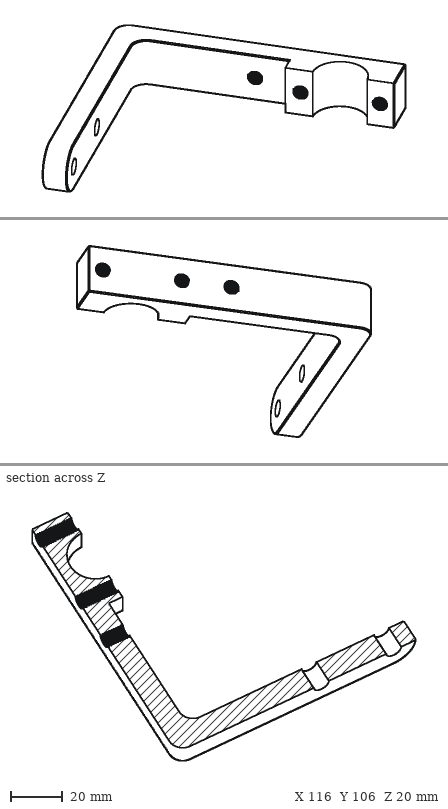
import cadquery as cq

LENGTH_X = 116.0
LENGTH_Y = 106.0
HEIGHT = 20.0
ARM_THICKNESS = 10.0
CORNER_RADIUS = 6.0
EDGE_CHAMFER = 0.5
END_RADIUS = HEIGHT / 2

CLAMP_DEPTH = 16.0
CLAMP_START_X = 72.0
SADDLE_RADIUS = 10.9
SADDLE_X = (CLAMP_START_X + LENGTH_X) / 2

PLAIN_HOLE_DIAMETER = 6.5
PLAIN_HOLE_SPACING = 32.0
PLAIN_HOLE_YS = (END_RADIUS, END_RADIUS + PLAIN_HOLE_SPACING)

ARM_THREAD_X = 58.0
CLAMP_THREAD_OFFSET = 16.0
THREAD_PITCH = 1.0
MAJOR_RADIUS = 3.0
MINOR_RADIUS = 2.5
GROOVE_ROOT_WIDTH = THREAD_PITCH / 8
GROOVE_MOUTH_WIDTH = THREAD_PITCH * 7 / 8
GROOVE_OVERLAP = 0.1
GROOVE_MOUTH_RADIUS = MINOR_RADIUS - GROOVE_OVERLAP
CORE_SEAM_ANGLE = 100.0

ARM_INNER_Y = LENGTH_Y - ARM_THICKNESS
CLAMP_FACE_Y = LENGTH_Y - CLAMP_DEPTH
MID_Z = HEIGHT / 2


def make_arms():
    """L-shaped bar with rounded corners, a round free end and chamfered edges."""
    corner_points = [
        (0, 0),
        (ARM_THICKNESS, 0),
        (ARM_THICKNESS, ARM_INNER_Y),
        (LENGTH_X, ARM_INNER_Y),
        (LENGTH_X, LENGTH_Y),
        (0, LENGTH_Y),
    ]
    bar = cq.Workplane("XY").polyline(corner_points).close().extrude(HEIGHT)
    for x, y in [(0, LENGTH_Y), (ARM_THICKNESS, ARM_INNER_Y)]:
        bar = bar.edges(cq.NearestToPointSelector((x, y, MID_Z))).fillet(CORNER_RADIUS)

    side_profile = (
        cq.Workplane("YZ")
        .moveTo(LENGTH_Y, 0)
        .lineTo(END_RADIUS, 0)
        .threePointArc((0, MID_Z), (END_RADIUS, HEIGHT))
        .lineTo(LENGTH_Y, HEIGHT)
        .close()
        .extrude(LENGTH_X)
    )
    bar = bar.intersect(side_profile)

    inner_face = cq.NearestToPointSelector((ARM_THICKNESS, ARM_INNER_Y / 2, MID_Z))
    bar = bar.faces("<X").edges("not |Z").chamfer(EDGE_CHAMFER)
    bar = bar.faces(inner_face).edges("not |Z").chamfer(EDGE_CHAMFER)
    return bar.faces(">X").edges().chamfer(EDGE_CHAMFER)


def make_clamp():
    """Block with its outer end edges chamfered."""
    block = (
        cq.Workplane("XY")
        .box(LENGTH_X - CLAMP_START_X, CLAMP_DEPTH, HEIGHT, centered=False)
        .translate((CLAMP_START_X, CLAMP_FACE_Y, 0))
    )
    return block.faces(">X or >Y").edges("not <X").chamfer(EDGE_CHAMFER)


def make_saddle():
    return cq.Workplane("XY").center(SADDLE_X, CLAMP_FACE_Y).circle(SADDLE_RADIUS).extrude(HEIGHT)


def make_plain_holes():
    return (
        cq.Workplane("YZ")
        .pushPoints([(y, MID_Z) for y in PLAIN_HOLE_YS])
        .circle(PLAIN_HOLE_DIAMETER / 2)
        .extrude(ARM_THICKNESS)
    )


def make_thread(x, face_y):
    """Groove and core cutters for a right-hand thread from face_y to the outer face in +Y."""
    depth = LENGTH_Y - face_y

    core = cq.Workplane("XY").circle(MINOR_RADIUS).extrude(depth)
    core = core.rotate((0, 0, 0), (0, 0, 1), CORE_SEAM_ANGLE)

    helix = cq.Wire.makeHelix(THREAD_PITCH, depth + 2 * THREAD_PITCH, MINOR_RADIUS)
    groove = (
        cq.Workplane("XZ")
        .moveTo(GROOVE_MOUTH_RADIUS, -GROOVE_MOUTH_WIDTH / 2)
        .lineTo(MAJOR_RADIUS, -GROOVE_ROOT_WIDTH / 2)
        .lineTo(MAJOR_RADIUS, GROOVE_ROOT_WIDTH / 2)
        .lineTo(GROOVE_MOUTH_RADIUS, GROOVE_MOUTH_WIDTH / 2)
        .close()
        .sweep(cq.Workplane(helix), isFrenet=True)
        .translate((0, 0, -THREAD_PITCH))
    )
    return [
        cutter.rotate((0, 0, 0), (1, 0, 0), -90).translate((x, face_y, MID_Z))
        for cutter in (groove, core)
    ]


result = make_arms().union(make_clamp()).cut(make_saddle()).cut(make_plain_holes())

threaded_holes = [
    (ARM_THREAD_X, ARM_INNER_Y),
    (SADDLE_X - CLAMP_THREAD_OFFSET, CLAMP_FACE_Y),
    (SADDLE_X + CLAMP_THREAD_OFFSET, CLAMP_FACE_Y),
]
for hole_x, hole_face_y in threaded_holes:
    for cutter in make_thread(hole_x, hole_face_y):
        result = result.cut(cutter)